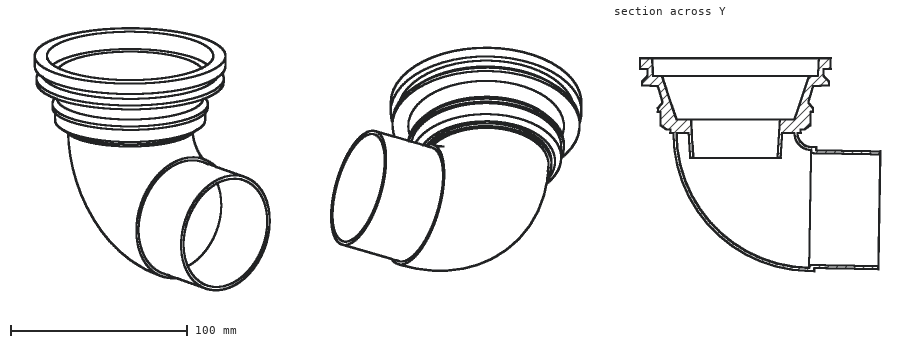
import cadquery as cq
import math

rim_radius = 108.0 / 2
overall_length = 136.1

neck_radius = 100.0 / 2
upper_ring_radius = 106.0 / 2
lower_ring_radius = 88.0 / 2
cone_top_radius = lower_ring_radius
cone_bottom_radius = 41.4
body_radius = 85.0 / 2
body_bottom_radius = 39.0
collar_radius = 74.0 / 2
rim_depth = 6.1
upper_ring_slope_depth = 10.2
upper_ring_depth = 13.2
upper_ring_end_depth = 15.5
cone_depth = 15.9
cone_end_depth = 25.0
lower_ring_depth = 28.3
body_depth = 30.3
body_chamfer_depth = 38.0
collar_depth = 40.4
head_depth = 42.3

recess_top_radius = 47.1
recess_bottom_radius = 46.5
recess_depth = 10.1
socket_top_radius = 41.5
socket_bottom_radius = 66.5 / 2
socket_depth = 34.5
throat_top_radius = 25.0
throat_bottom_radius = 23.7
throat_depth = 56.3
throat_wall = 2.0

elbow_radius = 70.5 / 2
elbow_bore_radius = 66.5 / 2
bend_radius = 43.0
bend_angle = 89.0
stop_length = 3.0
pipe_radius = 67.0 / 2
pipe_bore_radius = 63.0 / 2

dip = math.radians(90 - bend_angle)
bend_end_x = bend_radius * (1 - math.sin(dip))
bend_end_z = -head_depth - bend_radius * math.cos(dip)
pipe_end_x = overall_length - rim_radius - pipe_radius * math.sin(dip)
outlet_length = (pipe_end_x - bend_end_x) / math.cos(dip)


def revolved(outline):
    """Revolve an outline of (radius, depth) points, closed on the Z axis."""
    points = [(0, -outline[0][1])]
    points += [(radius, -depth) for radius, depth in outline]
    points.append((0, -outline[-1][1]))
    return cq.Workplane("XZ").polyline(points).close().revolve(360, (0, 0), (0, 1))


def bend(radius):
    """Round bar that turns from straight down to the outlet direction."""
    return (
        cq.Workplane("XY", origin=(0, 0, -head_depth))
        .circle(radius)
        .revolve(bend_angle, (bend_radius, 0), (bend_radius, -1))
    )


def outlet_cylinder(radius, length):
    """Cylinder on the outlet axis, starting at the end of the bend."""
    outlet_plane = cq.Plane(
        origin=(bend_end_x, 0, bend_end_z),
        xDir=(0, 1, 0),
        normal=(math.cos(dip), 0, -math.sin(dip)),
    )
    return cq.Workplane(outlet_plane).circle(radius).extrude(length)


head = revolved([
    (rim_radius, 0),
    (rim_radius, rim_depth),
    (neck_radius, rim_depth),
    (neck_radius, upper_ring_slope_depth),
    (upper_ring_radius, upper_ring_depth),
    (upper_ring_radius, upper_ring_end_depth),
    (cone_top_radius, cone_depth),
    (cone_bottom_radius, cone_end_depth),
    (lower_ring_radius, lower_ring_depth),
    (lower_ring_radius, body_depth),
    (body_radius, body_depth),
    (body_radius, body_chamfer_depth),
    (body_bottom_radius, collar_depth),
    (collar_radius, collar_depth),
    (collar_radius, head_depth),
])

head_cavity = revolved([
    (recess_top_radius, 0),
    (recess_bottom_radius, recess_depth),
    (socket_top_radius, recess_depth),
    (socket_bottom_radius, socket_depth),
    (throat_top_radius, socket_depth),
    (throat_bottom_radius, throat_depth),
])

sleeve = revolved([
    (throat_top_radius + throat_wall, socket_depth),
    (throat_bottom_radius + throat_wall, throat_depth),
])

elbow = bend(elbow_radius).union(outlet_cylinder(elbow_radius, stop_length))
pipe = outlet_cylinder(pipe_radius, outlet_length)
bore = bend(elbow_bore_radius).union(outlet_cylinder(pipe_bore_radius, outlet_length))

shell = head.union(elbow).union(pipe).cut(bore)
result = shell.union(sleeve).cut(head_cavity)